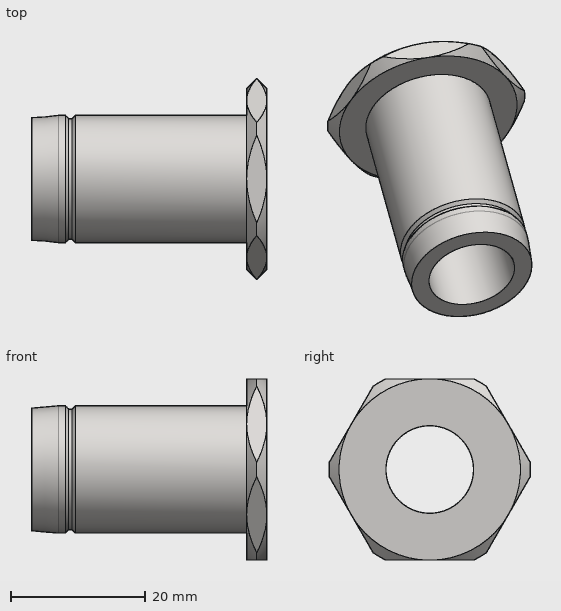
import cadquery as cq
import math

total_length = 35.0
tube_radius = 19.0 / 2
bore_radius = 13.0 / 2

nose_length = 4.0
nose_angle = 5.0
nose_radius = tube_radius - nose_length * math.tan(math.radians(nose_angle))

groove_start = nose_length + 1.0
groove_depth = 0.5
groove_floor_width = 0.5
groove_floor_start = groove_start + groove_depth
groove_floor_end = groove_floor_start + groove_floor_width
groove_end = groove_floor_end + groove_depth
groove_radius = tube_radius - groove_depth

across_flats = 27.0
flange_thickness = 3.0
flange_start = total_length - flange_thickness
face_radius = across_flats / 2
crest_radius = face_radius + flange_thickness / 2


def revolve_about_x(points):
    """Revolve a closed (x, radius) outline around the X axis."""
    return cq.Workplane("XZ").polyline(points).close().revolve(360, (0, 0, 0), (1, 0, 0))


def make_tube():
    """Solid barrel with its tapered nose and groove."""
    return revolve_about_x([
        (0, 0),
        (0, nose_radius),
        (nose_length, tube_radius),
        (groove_start, tube_radius),
        (groove_floor_start, groove_radius),
        (groove_floor_end, groove_radius),
        (groove_end, tube_radius),
        (total_length, tube_radius),
        (total_length, 0),
    ])


def make_flange():
    """Hexagonal flange with its corners bevelled from both faces."""
    across_corners = across_flats / math.cos(math.radians(30))
    hexagon = (
        cq.Workplane("YZ", origin=(flange_start, 0, 0))
        .polygon(6, across_corners)
        .extrude(flange_thickness)
    )
    double_cone = revolve_about_x([
        (flange_start, 0),
        (flange_start, face_radius),
        (flange_start + flange_thickness / 2, crest_radius),
        (total_length, face_radius),
        (total_length, 0),
    ])
    return hexagon.intersect(double_cone)


def make_bore():
    """Through bore along the X axis."""
    return cq.Workplane("YZ").circle(bore_radius).extrude(total_length)


result = make_tube().union(make_flange()).cut(make_bore())